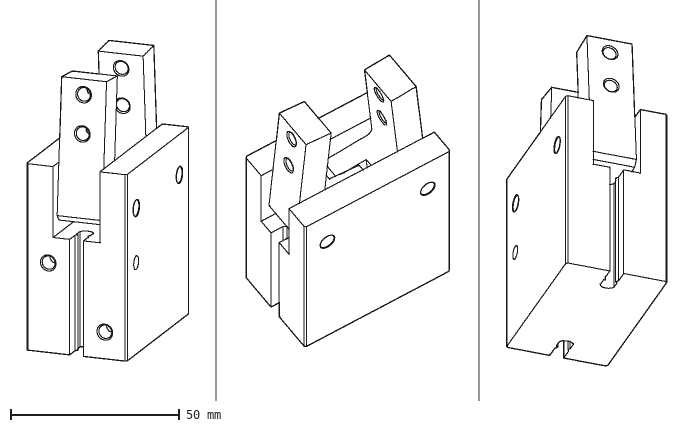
import cadquery as cq
import math

TOTAL_HEIGHT = 84.3

WIDTH = 32.0
DEPTH = 52.0
HOUSING_HEIGHT = 58.1
EDGE_CHAMFER = 0.5

CHANNEL_WIDTH = 14.9
CHANNEL_FLOOR = 36.0

MOUTH_HALF = 2.2
MOUTH_DEPTH = 4.4
THROAT_HALF = 1.6
THROAT_DEPTH = 5.3
POCKET_DEPTH = 5.65
POCKET_WALL_DEPTH = 8.4
BOTTOM_RADIUS = 2.5
BOTTOM_FLAT_HALF = 0.4

HOLE_DIAMETER = 4.1
HOLE_MOUTH_DIAMETER = 5.0
HOLE_MOUTH_DEPTH = (HOLE_MOUTH_DIAMETER - HOLE_DIAMETER) / 2
DRILL_HALF_ANGLE = math.radians(59)

PORT_POSITIONS = [(-9.0, 27.9), (9.0, 8.35)]
PORT_DEPTH = 6.75
PORT_PASSAGE_DIAMETER = 1.5
PORT_PASSAGE_DEPTH = 10.1

CROSS_HOLE_Z = 28.5
CROSS_HOLE_DEPTH_IN_SLOT = 7.8
CROSS_HOLE_END_X = 0.0

PIVOT_Y = 17.95
PIVOT_Z = 45.4
RECESS_DIAMETER = 4.9
RECESS_DEPTH = 0.2

FINGER_TILT = 5.0
FINGER_WIDTH = 14.3
FINGER_OUTER = 5.1
FINGER_THICKNESS = 9.0
TILT_SINE = math.sin(math.radians(FINGER_TILT))
TILT_COSINE = math.cos(math.radians(FINGER_TILT))
FINGER_TOP = (TOTAL_HEIGHT - PIVOT_Z - FINGER_OUTER * TILT_SINE) / TILT_COSINE
FINGER_BOTTOM = -5.5
FINGER_CHAMFER = 1.7
ARM_TOP = 6.15
ARM_TIP = -21.6
ARM_STEP = -10.9
ARM_FILLET = 2.0
FINGER_HOLE_SPACING = 12.0
FINGER_HOLE_FROM_TOP = 4.7


def stepped_cutter(stations):
    """Turned cutter along +Z, from (radius, depth) stations; the first station is at the surface."""
    outline = [(0, stations[0][1])] + stations
    if stations[-1][0] > 0:
        outline.append((0, stations[-1][1]))
    return cq.Workplane("XZ").polyline(outline).close().revolve(360, (0, 0), (0, 1))


def sensor_slot():
    """Cutter for the slot in the -Y face, over the full height of the housing."""
    face = -DEPTH / 2
    mouth_y = face + MOUTH_DEPTH
    throat_y = face + THROAT_DEPTH
    pocket_y = face + POCKET_DEPTH
    wall_y = face + POCKET_WALL_DEPTH
    arc_centre_y = wall_y - math.sqrt(BOTTOM_RADIUS**2 - MOUTH_HALF**2)
    bottom_y = arc_centre_y + math.sqrt(BOTTOM_RADIUS**2 - BOTTOM_FLAT_HALF**2)
    arc_mid_x = (MOUTH_HALF + BOTTOM_FLAT_HALF) / 2
    arc_mid_y = arc_centre_y + math.sqrt(BOTTOM_RADIUS**2 - arc_mid_x**2)
    return (
        cq.Workplane("XY")
        .moveTo(-MOUTH_HALF, face)
        .lineTo(-MOUTH_HALF, mouth_y)
        .lineTo(-THROAT_HALF, throat_y)
        .lineTo(-MOUTH_HALF, pocket_y)
        .lineTo(-MOUTH_HALF, wall_y)
        .threePointArc((-arc_mid_x, arc_mid_y), (-BOTTOM_FLAT_HALF, bottom_y))
        .lineTo(BOTTOM_FLAT_HALF, bottom_y)
        .threePointArc((arc_mid_x, arc_mid_y), (MOUTH_HALF, wall_y))
        .lineTo(MOUTH_HALF, pocket_y)
        .lineTo(THROAT_HALF, throat_y)
        .lineTo(MOUTH_HALF, mouth_y)
        .lineTo(MOUTH_HALF, face)
        .close()
        .extrude(HOUSING_HEIGHT)
    )


def air_port(x, z):
    """Chamfered blind hole with a drill-point bottom and a narrow drilled passage beyond it."""
    radius = HOLE_DIAMETER / 2
    passage = PORT_PASSAGE_DIAMETER / 2
    cone_end = PORT_DEPTH + (radius - passage) / math.tan(DRILL_HALF_ANGLE)
    stations = [
        (HOLE_MOUTH_DIAMETER / 2, 0),
        (radius, HOLE_MOUTH_DEPTH),
        (radius, PORT_DEPTH),
        (passage, cone_end),
        (passage, PORT_PASSAGE_DEPTH),
        (0, PORT_PASSAGE_DEPTH + passage / math.tan(DRILL_HALF_ANGLE)),
    ]
    cutter = stepped_cutter(stations).rotate((0, 0, 0), (1, 0, 0), -90)
    return cutter.translate((x, -DEPTH / 2, z))


def cross_hole():
    """Blind drilled hole along -X that ends inside the front sensor slot."""
    radius = HOLE_DIAMETER / 2
    length = WIDTH / 2 - CROSS_HOLE_END_X
    tip = length + radius / math.tan(DRILL_HALF_ANGLE)
    cutter = stepped_cutter([(radius, 0), (radius, length), (0, tip)])
    cutter = cutter.rotate((0, 0, 0), (0, 1, 0), -90)
    return cutter.translate((WIDTH / 2, -DEPTH / 2 + CROSS_HOLE_DEPTH_IN_SLOT, CROSS_HOLE_Z))


def pivot_recess(y):
    """Shallow 45-degree dished recess in the -X face."""
    radius = RECESS_DIAMETER / 2
    cutter = stepped_cutter([(radius + RECESS_DEPTH, 0), (radius, RECESS_DEPTH)])
    return cutter.rotate((0, 0, 0), (0, 1, 0), 90).translate((-WIDTH / 2, y, PIVOT_Z))


def make_housing():
    body = cq.Workplane("XY").box(WIDTH, DEPTH, HOUSING_HEIGHT, centered=(True, True, False))
    body = body.edges("|Z").chamfer(EDGE_CHAMFER)
    channel = (
        cq.Workplane("XY")
        .workplane(offset=CHANNEL_FLOOR)
        .rect(CHANNEL_WIDTH, DEPTH)
        .extrude(HOUSING_HEIGHT - CHANNEL_FLOOR)
    )
    slot = sensor_slot()
    body = body.cut(channel).cut(slot).cut(slot.mirror("XZ"))
    for x, z in PORT_POSITIONS:
        body = body.cut(air_port(x, z))
    body = body.cut(cross_hole())
    for y in (-PIVOT_Y, PIVOT_Y):
        recess = pivot_recess(y)
        body = body.cut(recess).cut(recess.mirror("YZ"))
    return body


def finger_hole(z):
    """Through hole along -Y from the outer face, chamfered at both ends."""
    radius = HOLE_DIAMETER / 2
    mouth = HOLE_MOUTH_DIAMETER / 2
    stations = [
        (mouth, 0),
        (radius, HOLE_MOUTH_DEPTH),
        (radius, FINGER_THICKNESS - HOLE_MOUTH_DEPTH),
        (mouth, FINGER_THICKNESS),
    ]
    cutter = stepped_cutter(stations).rotate((0, 0, 0), (1, 0, 0), 90)
    return cutter.translate((0, FINGER_OUTER, z))


def make_finger(turn):
    """L-shaped finger on the +Y pivot, tilted inward, then turned about Z into its place."""
    inner = FINGER_OUTER - FINGER_THICKNESS
    profile = [
        (FINGER_OUTER, FINGER_TOP),
        (inner, FINGER_TOP),
        (inner, ARM_TOP),
        (ARM_TIP, ARM_TOP),
        (ARM_TIP, FINGER_BOTTOM),
        (FINGER_OUTER - FINGER_CHAMFER, FINGER_BOTTOM),
        (FINGER_OUTER, FINGER_BOTTOM + FINGER_CHAMFER),
    ]
    body = cq.Workplane("YZ").polyline(profile).close().extrude(FINGER_WIDTH / 2, both=True)
    body = body.edges(cq.selectors.NearestToPointSelector((0, inner, ARM_TOP))).fillet(ARM_FILLET)

    arm_relief = cq.Workplane("XY").box(
        FINGER_WIDTH / 2,
        ARM_STEP - ARM_TIP,
        ARM_TOP - FINGER_BOTTOM,
        centered=False,
    )
    body = body.cut(arm_relief.translate((0, ARM_TIP, FINGER_BOTTOM)))

    upper_hole = FINGER_TOP - FINGER_HOLE_FROM_TOP
    for z in (upper_hole, upper_hole - FINGER_HOLE_SPACING):
        body = body.cut(finger_hole(z))

    body = body.rotate((0, 0, 0), (1, 0, 0), FINGER_TILT)
    return body.translate((0, PIVOT_Y, PIVOT_Z)).rotate((0, 0, 0), (0, 0, 1), turn)


housing = make_housing()
fingers = [make_finger(turn) for turn in (0, 180)]

result = cq.Compound.makeCompound([housing.val(), *[finger.val() for finger in fingers]])